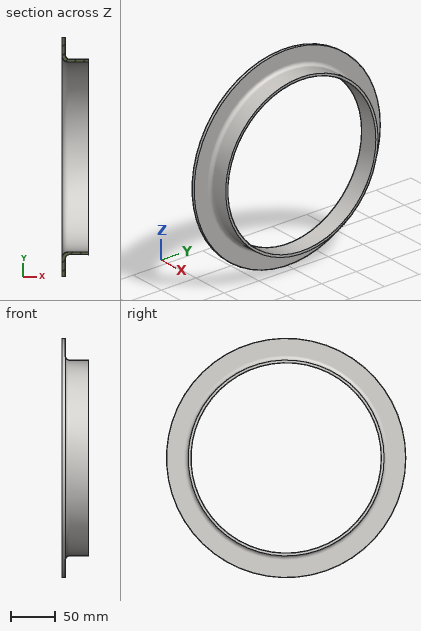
import cadquery as cq

flange_diameter = 268.0
collar_diameter = 219.2
bore_diameter = 212.8
total_length = 30.0
flange_thickness = 4.0
outer_bend_radius = 4.8
inner_bend_radius = 7.0

flange_radius = flange_diameter / 2
collar_radius = collar_diameter / 2
bore_radius = bore_diameter / 2

half_section = (
    cq.Workplane("XY")
    .moveTo(0, bore_radius + inner_bend_radius)
    .lineTo(0, flange_radius)
    .lineTo(flange_thickness, flange_radius)
    .lineTo(flange_thickness, collar_radius + outer_bend_radius)
    .radiusArc((flange_thickness + outer_bend_radius, collar_radius), -outer_bend_radius)
    .lineTo(total_length, collar_radius)
    .lineTo(total_length, bore_radius)
    .lineTo(inner_bend_radius, bore_radius)
    .radiusArc((0, bore_radius + inner_bend_radius), inner_bend_radius)
    .close()
)

result = half_section.revolve(360, (0, 0, 0), (1, 0, 0))